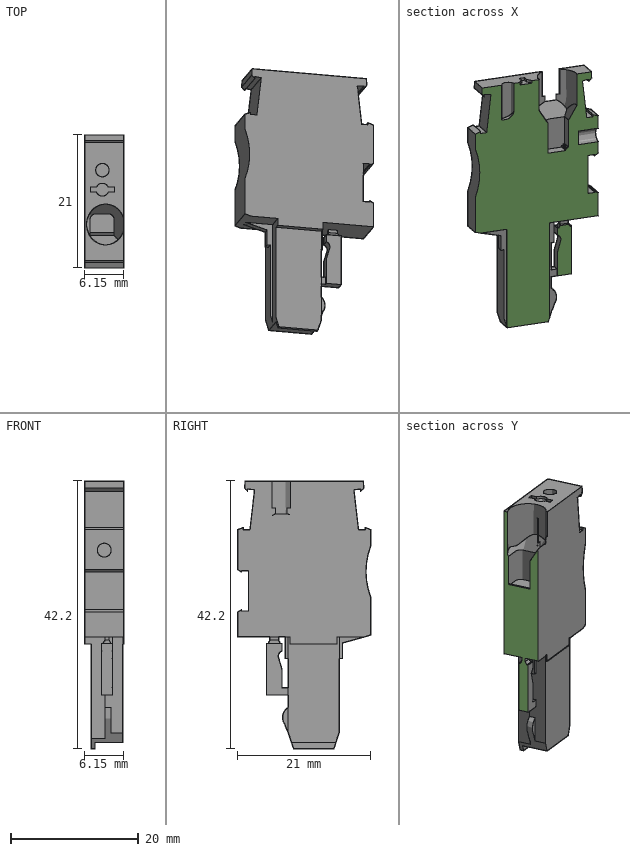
import cadquery as cq
import math

WIDTH = 6.15
DEPTH = 21.0
HEIGHT = 42.15
MID_Y = DEPTH / 2

HOUSING_BOTTOM = 17.63
BACK_BOTTOM = 17.92
SLOPE_START_Y = 20.05
SHOULDER_Z = 34.55

FLANGE_HALF = 9.3
FLANGE_LIP_HALF = 9.4
FLANGE_LIP_Z = 41.07
FLANGE_TIP_HALF = 8.9
FLANGE_TIP_Z = 40.55
FLANGE_UNDERSIDE_Z = 40.9
NECK_TOP_Z = 40.78
NECK_TOP_HALF = 7.85
NECK_BOTTOM_HALF = 8.55
HOOK_HEIGHT = 0.35
HOOK_ROOT_HALF = 9.57

RECESS_DEPTH = 1.7
RECESS_TOP = 28.05
RECESS_BOTTOM = 21.7
RECESS_HOOK_Y = 0.65
RECESS_HOOK_HEIGHT = 0.2
RECESS_CORNER_DROP = 0.15

HOLLOW_CENTRE_Z = 27.9
HOLLOW_HALF_HEIGHT = 4.1
HOLLOW_DEPTH = 0.75

PLUG_LEFT = 1.0
PLUG_RIGHT = 6.05
PANEL_RIGHT = 3.15
TONGUE_BOTTOM = 16.5
PANEL_FRONT = 8.25
PANEL_BACK = 15.65
CORE_FRONT = 7.95
CORE_BACK = 16.02
TIP_FRONT = 8.8
TIP_BACK = 15.2
BACK_TAPER_Z = 2.6
NOSE_SLOPE = 3.0
PLUG_BOTTOM = 0.95
LIP_RIGHT = 1.65

COLLAR_RIGHT = 4.35
COLLAR_FRONT = 7.5
COLLAR_BACK = 16.55
COLLAR_BOTTOM = 14.2
COLLAR_SLOPE_Z = 16.65

LATCH_RIGHT = 4.17
LATCH_TOP = 6.55
LATCH_FRONT = 7.1
LATCH_FRONT_Z = 5.15
LATCH_BEND_Y = 7.42
LATCH_BEND_Z = 3.9
LATCH_BOTTOM = 2.75
LATCH_HOLLOW = 0.05

PIN_LEFT = 2.65
PIN_RIGHT = 4.35
PIN_FRONT = 4.55
PIN_BACK = 7.0
PIN_TOP = 16.6
PIN_BOTTOM = 8.48
NECK_Z = 17.1
PIN_NECK_X = 0.67
PIN_NECK_Y = 1.45
PIN_TAPER_X = 1.25
PIN_TAPER_Y = 1.95
NOTCH_TOP = 15.4
NOTCH_DEEP_Z = 14.42
NOTCH_BOTTOM = 12.55
NOTCH_DEPTH = 0.55
NOTCH_BULGE = 0.2
BRIDGE_TOP = 9.65

PORT_X = 3.3
PORT_Y = 6.87
PORT_RADIUS_X = 3.0
PORT_RADIUS_Y = 3.2
PORT_DEPTH = 4.2
WINDOW_HALF = 1.48
WINDOW_LEFT = 5.8
POCKET_LEFT = 0.85
POCKET_RIGHT = 4.65
POCKET_FRONT = 5.1
POCKET_BACK = 8.55
POCKET_CORNER = 0.93
POCKET_DEPTH = 12.65
FUNNEL_HEIGHT = 3.37
FUNNEL_GROWTH = 2.1
STEP_DEPTH = 0.25
STEP_COUNT = 2

TEST_HOLE_X = 2.8
TEST_HOLE_Y = 15.45
TEST_HOLE_RADIUS = 1.05
TEST_HOLE_DEPTH = 5.9
TEST_FLOOR_ARC_Y = 15.8
GROOVE_Y = 12.35
GROOVE_WIDTH = 0.8
GROOVE_LENGTH = 3.75
GROOVE_RADIUS = 1.0
GROOVE_DEPTH = 0.42

FRONT_HOLE_X = WIDTH / 2
FRONT_HOLE_Z = 31.3
FRONT_HOLE_RADIUS = 1.1
FRONT_HOLE_DEPTH = 3.37


def box(x0, x1, y0, y1, z0, z1):
    """Block given by its limits along each axis."""
    return cq.Workplane("XY").box(x1 - x0, y1 - y0, z1 - z0, centered=False).translate((x0, y0, z0))


def side_plane(x):
    """YZ sketch plane at the given X."""
    return cq.Workplane("YZ", origin=(x, 0, 0))


def slab(points, x0, x1):
    """Polygon in YZ extruded along X between two limits."""
    return side_plane(x0).polyline(points).close().extrude(x1 - x0)


def upper_edge(side):
    """Points from the flange's top edge to the housing's outer face; side is -1 (front) or 1 (back)."""
    offsets = [
        (FLANGE_HALF, HEIGHT),
        (FLANGE_LIP_HALF, FLANGE_LIP_Z),
        (FLANGE_TIP_HALF, FLANGE_TIP_Z),
        (FLANGE_TIP_HALF, FLANGE_UNDERSIDE_Z),
        (NECK_TOP_HALF, NECK_TOP_Z),
        (NECK_BOTTOM_HALF, SHOULDER_Z),
        (HOOK_ROOT_HALF, SHOULDER_Z),
        (HOOK_ROOT_HALF, SHOULDER_Z + HOOK_HEIGHT),
        (MID_Y, SHOULDER_Z),
    ]
    return [(MID_Y + side * offset, z) for offset, z in offsets]


def housing():
    front_recess = [
        (0, RECESS_BOTTOM - RECESS_CORNER_DROP),
        (RECESS_HOOK_Y, RECESS_BOTTOM + RECESS_HOOK_HEIGHT),
        (RECESS_HOOK_Y, RECESS_BOTTOM),
        (RECESS_DEPTH, RECESS_BOTTOM),
        (RECESS_DEPTH, RECESS_TOP),
        (RECESS_HOOK_Y, RECESS_TOP),
        (RECESS_HOOK_Y, RECESS_TOP - RECESS_HOOK_HEIGHT),
        (0, RECESS_TOP + RECESS_CORNER_DROP),
    ]
    hollow_low = (DEPTH, HOLLOW_CENTRE_Z - HOLLOW_HALF_HEIGHT)
    hollow_middle = (DEPTH - HOLLOW_DEPTH, HOLLOW_CENTRE_Z)
    hollow_high = (DEPTH, HOLLOW_CENTRE_Z + HOLLOW_HALF_HEIGHT)
    outline = (
        side_plane(0)
        .polyline([(0, HOUSING_BOTTOM)] + front_recess + upper_edge(-1)[::-1] + upper_edge(1))
        .lineTo(*hollow_high)
        .threePointArc(hollow_middle, hollow_low)
        .lineTo(DEPTH, BACK_BOTTOM)
        .lineTo(SLOPE_START_Y, HOUSING_BOTTOM)
        .close()
    )
    tongue = box(0, WIDTH, PANEL_FRONT, PANEL_BACK, TONGUE_BOTTOM, HOUSING_BOTTOM)
    return outline.extrude(WIDTH).union(tongue)


def nose_z(y):
    """Height of the sloped plug nose at a given depth."""
    return NOSE_SLOPE * (TIP_FRONT - y)


def plug():
    nose = [(TIP_FRONT, 0), (TIP_BACK, 0)]
    panel = slab(
        nose
        + [
            (PANEL_BACK, BACK_TAPER_Z * (PANEL_BACK - TIP_BACK) / (CORE_BACK - TIP_BACK)),
            (PANEL_BACK, HOUSING_BOTTOM),
            (PANEL_FRONT, HOUSING_BOTTOM),
            (PANEL_FRONT, nose_z(PANEL_FRONT)),
        ],
        PLUG_LEFT,
        PANEL_RIGHT,
    )
    core = slab(
        nose
        + [
            (CORE_BACK, BACK_TAPER_Z),
            (CORE_BACK, HOUSING_BOTTOM),
            (CORE_FRONT, HOUSING_BOTTOM),
            (CORE_FRONT, nose_z(CORE_FRONT)),
        ],
        PANEL_RIGHT,
        PLUG_RIGHT,
    )
    beside_lip = box(LIP_RIGHT, PLUG_RIGHT, 0, DEPTH, 0, PLUG_BOTTOM)
    return panel.union(core).cut(beside_lip)


def collar():
    outline = [
        (COLLAR_FRONT, HOUSING_BOTTOM),
        (COLLAR_FRONT, COLLAR_BOTTOM),
        (COLLAR_BACK, COLLAR_BOTTOM),
        (COLLAR_BACK, COLLAR_SLOPE_Z),
        (SLOPE_START_Y, HOUSING_BOTTOM),
    ]
    return slab(outline, PANEL_RIGHT, COLLAR_RIGHT)


def latch():
    bottom_y = TIP_FRONT - LATCH_BOTTOM / NOSE_SLOPE
    return (
        side_plane(PANEL_RIGHT)
        .moveTo(PANEL_FRONT, LATCH_TOP)
        .lineTo(CORE_FRONT, LATCH_TOP)
        .threePointArc((LATCH_FRONT, LATCH_FRONT_Z), (LATCH_BEND_Y, LATCH_BEND_Z))
        .sagittaArc((bottom_y, LATCH_BOTTOM), -LATCH_HOLLOW)
        .lineTo(PANEL_FRONT, nose_z(PANEL_FRONT))
        .close()
        .extrude(LATCH_RIGHT - PANEL_RIGHT)
    )


def coding_pin():
    centre_x = (PIN_LEFT + PIN_RIGHT) / 2
    centre_y = (PIN_FRONT + PIN_BACK) / 2
    notch_y = PIN_BACK - NOTCH_DEPTH
    shank = (
        side_plane(PIN_LEFT)
        .moveTo(PIN_FRONT, PIN_BOTTOM)
        .lineTo(PIN_FRONT, PIN_TOP)
        .lineTo(PIN_BACK, PIN_TOP)
        .lineTo(PIN_BACK, NOTCH_TOP)
        .sagittaArc((notch_y, NOTCH_DEEP_Z), -NOTCH_BULGE)
        .lineTo(PIN_BACK, NOTCH_BOTTOM)
        .lineTo(PIN_BACK, PIN_BOTTOM)
        .close()
        .extrude(PIN_RIGHT - PIN_LEFT)
    )
    taper = (
        cq.Workplane("XY", origin=(centre_x, centre_y, PIN_TOP))
        .rect(PIN_TAPER_X, PIN_TAPER_Y)
        .workplane(offset=NECK_Z - PIN_TOP)
        .rect(PIN_NECK_X, PIN_NECK_Y)
        .loft(ruled=True)
    )
    neck = (
        cq.Workplane("XY", origin=(centre_x, centre_y, NECK_Z))
        .rect(PIN_NECK_X, PIN_NECK_Y)
        .extrude(HOUSING_BOTTOM - NECK_Z)
    )
    bridge = box(PANEL_RIGHT, PIN_RIGHT, PIN_BACK, CORE_FRONT, PIN_BOTTOM, BRIDGE_TOP)
    return shank.union(taper).union(neck).union(bridge)


def pocket_section(plane, growth=0):
    """Wire pocket section grown outwards: square corners in front, rounded corners at the back."""
    left = POCKET_LEFT - growth
    right = POCKET_RIGHT + growth
    front = POCKET_FRONT - growth
    back = POCKET_BACK + growth
    corner = POCKET_CORNER + growth
    return (
        plane.moveTo(left, front)
        .lineTo(right, front)
        .lineTo(right, back - corner)
        .tangentArcPoint((-corner, corner))
        .lineTo(left + corner, back)
        .tangentArcPoint((-corner, -corner))
        .close()
    )


def wire_port():
    port_bottom = HEIGHT - PORT_DEPTH
    funnel_bottom = port_bottom - FUNNEL_HEIGHT
    pocket_bottom = HEIGHT - POCKET_DEPTH

    def oval(z0, height):
        plane = cq.Workplane("XY", origin=(PORT_X, PORT_Y, z0))
        return plane.ellipse(PORT_RADIUS_X, PORT_RADIUS_Y).extrude(height)

    bore = oval(port_bottom, PORT_DEPTH)
    window = box(WINDOW_LEFT, WIDTH, PORT_Y - WINDOW_HALF, PORT_Y + WINDOW_HALF, port_bottom, HEIGHT)
    funnel_start = pocket_section(cq.Workplane("XY", origin=(0, 0, funnel_bottom)))
    funnel = pocket_section(funnel_start.workplane(offset=FUNNEL_HEIGHT, origin=(0, 0)), FUNNEL_GROWTH)
    funnel = funnel.loft(ruled=True).intersect(oval(funnel_bottom, FUNNEL_HEIGHT))
    pocket = pocket_section(cq.Workplane("XY", origin=(0, 0, pocket_bottom)))
    pocket = pocket.extrude(funnel_bottom - pocket_bottom)
    for step in range(1, STEP_COUNT + 1):
        tread_end = POCKET_FRONT + step * STEP_DEPTH
        tread_z = pocket_bottom + (STEP_COUNT + 1 - step) * STEP_DEPTH
        pocket = pocket.cut(box(0, WIDTH, 0, tread_end, pocket_bottom, tread_z))
    return bore.union(window).union(funnel).union(pocket)


def test_hole():
    bottom = HEIGHT - TEST_HOLE_DEPTH
    hole = cq.Workplane("XY", origin=(TEST_HOLE_X, TEST_HOLE_Y, bottom))
    hole = hole.circle(TEST_HOLE_RADIUS).extrude(TEST_HOLE_DEPTH)
    wall_y = TEST_HOLE_Y - TEST_HOLE_RADIUS
    arc_radius = TEST_FLOOR_ARC_Y - wall_y
    middle = arc_radius * math.sqrt(0.5)
    curved_floor = (
        side_plane(0)
        .moveTo(wall_y, bottom)
        .lineTo(TEST_FLOOR_ARC_Y, bottom)
        .threePointArc(
            (TEST_FLOOR_ARC_Y - middle, bottom + arc_radius - middle),
            (wall_y, bottom + arc_radius),
        )
        .close()
        .extrude(WIDTH)
    )
    return hole.cut(curved_floor)


def label_groove():
    plane = cq.Workplane("XY", origin=(TEST_HOLE_X, GROOVE_Y, HEIGHT - GROOVE_DEPTH))
    channel = plane.rect(GROOVE_LENGTH, GROOVE_WIDTH).extrude(GROOVE_DEPTH)
    disc = plane.circle(GROOVE_RADIUS).extrude(GROOVE_DEPTH)
    return channel.union(disc)


def front_hole():
    plane = cq.Workplane("XZ", origin=(FRONT_HOLE_X, 0, FRONT_HOLE_Z))
    return plane.circle(FRONT_HOLE_RADIUS).extrude(-FRONT_HOLE_DEPTH)


result = housing()
for addition in (plug(), collar(), latch(), coding_pin()):
    result = result.union(addition)
for opening in (wire_port(), test_hole(), label_groove(), front_hole()):
    result = result.cut(opening)